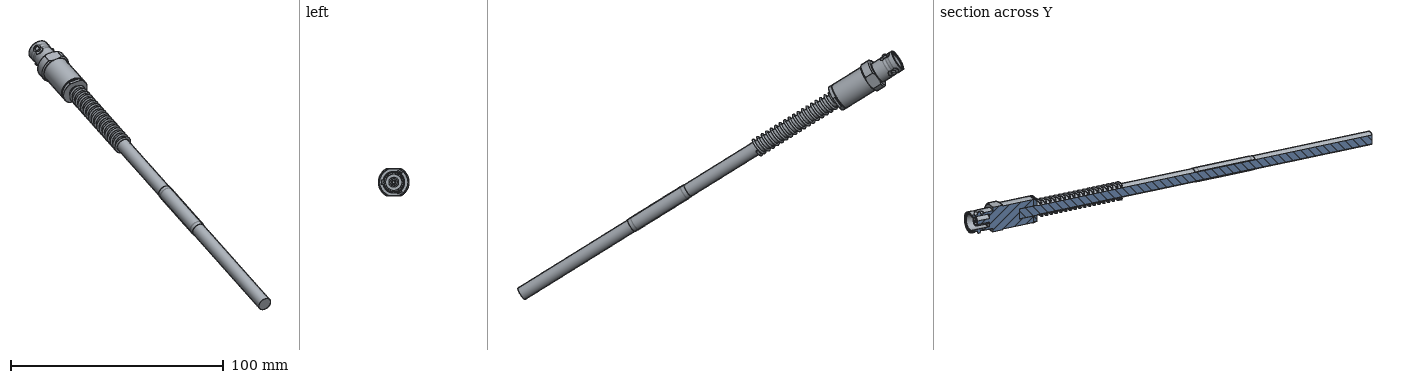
import cadquery as cq

TOTAL_LENGTH = 213.0

BARREL_RADIUS = 5.1
BORE_RADIUS = 3.8
MOUTH_RADIUS = 4.5
MOUTH_DEPTH = 0.5
BORE_DEPTH = 9.5
CONTACT_FRONT = 3.2
CONTACT_RADIUS = 2.3
CONTACT_STEP = 0.6
FLANGE_START = 11.3
FLANGE_END = 16.6
FLANGE_RADIUS = 7.2
FLANGE_CHAMFER = 0.6
BODY_RADIUS = 6.4
BODY_END = 33.2
BODY_CHAMFER = 0.32

LUG_COUNT = 3
LUG_X = 4.0
LUG_RADIUS = 1.0
LUG_TIP = 5.8
LUG_SEAT_RADIUS = 2.5
LUG_SEAT_FLOOR = 4.7
GROOVE_WIDTH = 3.0
GROOVE_DEPTH = 0.2

NUT_END = 35.0
NUT_FLAT_START = 33.7
NUT_FLAT_HEIGHT = 5.8

CABLE_RADIUS = 3.2
CABLE_START = 25.5
SLEEVE_START = 118.8
SLEEVE_LENGTH = 32.0
SLEEVE_RADIUS = 3.5
SLEEVE_TAPER_LENGTH = 2.0
SLEEVE_TAPER_DEPTH = 0.1

COIL_RADIUS = 3.8
WIRE_DIAMETER = 1.0
SPRING_END = 80.3
SPRING_TURNS = 17.5


def rod(start, end, radius):
    """Solid cylinder along X."""
    return cq.Workplane("YZ", origin=(start, 0, 0)).circle(radius).extrude(end - start)


def tube(start, end, outer, inner):
    """Hollow cylinder along X."""
    return cq.Workplane("YZ", origin=(start, 0, 0)).circle(outer).circle(inner).extrude(end - start)


def make_flange():
    """Chamfered disc with flats above and below, level with the body."""
    disc = rod(FLANGE_START, FLANGE_END, FLANGE_RADIUS).edges().chamfer(FLANGE_CHAMFER)
    flats = cq.Workplane("XY").box(2 * FLANGE_END, 2 * FLANGE_RADIUS, 2 * BODY_RADIUS)
    return disc.intersect(flats)


def radial_rod(angle, start, end, radius):
    """Cylinder that points away from the axis at the lugs' X, turned from +Y about X."""
    post = cq.Workplane("XZ", origin=(LUG_X, start, 0)).circle(radius).extrude(start - end)
    return post.rotate((0, 0, 0), (1, 0, 0), angle)


def make_groove():
    """Ring with a V section that bites into the barrel's surface at the lugs."""
    half_width = GROOVE_WIDTH / 2
    section = cq.Workplane("XY").polyline([
        (LUG_X - half_width, BARREL_RADIUS),
        (LUG_X, BARREL_RADIUS - GROOVE_DEPTH),
        (LUG_X + half_width, BARREL_RADIUS),
    ])
    return section.close().revolve(360, (0, 0, 0), (1, 0, 0))


def make_contact():
    """Outer tube around a stepped centre pin, standing on the floor of the bore."""
    outer_tube = tube(CONTACT_FRONT, BORE_DEPTH, CONTACT_RADIUS, CONTACT_RADIUS - CONTACT_STEP)
    pin = rod(CONTACT_FRONT + CONTACT_STEP, BORE_DEPTH, CONTACT_RADIUS - 2 * CONTACT_STEP)
    tip = rod(CONTACT_FRONT, BORE_DEPTH, CONTACT_STEP)
    return outer_tube.union(pin).union(tip)


def make_shell():
    """Barrel, flange and body in one piece, with the bayonet lugs, the bore and its contact."""
    body = rod(FLANGE_START, BODY_END, BODY_RADIUS).faces(">X").chamfer(BODY_CHAMFER)
    shell = rod(0, FLANGE_END, BARREL_RADIUS).union(body).union(make_flange())
    shell = shell.cut(make_groove())
    for i in range(LUG_COUNT):
        angle = i * 360 / LUG_COUNT
        shell = shell.cut(radial_rod(angle, LUG_SEAT_FLOOR, BODY_RADIUS, LUG_SEAT_RADIUS))
        shell = shell.union(radial_rod(angle, BORE_RADIUS, LUG_TIP, LUG_RADIUS))
    bore = rod(0, BORE_DEPTH, BORE_RADIUS).union(rod(0, MOUTH_DEPTH, MOUTH_RADIUS))
    cable_hole = rod(CABLE_START, BODY_END, CABLE_RADIUS)
    return shell.cut(bore).cut(cable_hole).union(make_contact())


def make_nut():
    """Ring behind the shell, with two wrench flats at its rear."""
    nut = tube(BODY_END, NUT_END, BODY_RADIUS, CABLE_RADIUS)
    flat_length = NUT_END - NUT_FLAT_START
    for side in (-1, 1):
        block = cq.Workplane("XY").box(flat_length, 2 * BODY_RADIUS, BODY_RADIUS)
        center = (NUT_FLAT_START + flat_length / 2, 0, side * (NUT_FLAT_HEIGHT + BODY_RADIUS / 2))
        nut = nut.cut(block.translate(center))
    return nut


def make_spring():
    """Helix from the nut's face, finished by a half turn without pitch."""
    wire_radius = WIRE_DIAMETER / 2
    start = NUT_END + wire_radius
    height = SPRING_END - wire_radius - start
    path = cq.Wire.makeHelix(height / SPRING_TURNS, height, COIL_RADIUS)
    section = cq.Workplane("XZ", origin=(COIL_RADIUS, 0, 0)).circle(wire_radius)
    spring = section.sweep(cq.Workplane(obj=path), isFrenet=True)
    end_turn = cq.Workplane("XZ", origin=(0, 0, height)).center(-COIL_RADIUS, 0).circle(wire_radius)
    end_turn = end_turn.revolve(180, (COIL_RADIUS, 0), (COIL_RADIUS, 1))
    spring = spring.union(end_turn)
    return spring.rotate((0, 0, 0), (0, 1, 0), 90).translate((start, 0, 0))


def make_sleeve():
    """Thin tube around the cable, slightly tapered at both ends."""
    sleeve_end = SLEEVE_START + SLEEVE_LENGTH
    sleeve = rod(SLEEVE_START, sleeve_end, SLEEVE_RADIUS)
    sleeve = sleeve.faces("<X").chamfer(SLEEVE_TAPER_LENGTH, SLEEVE_TAPER_DEPTH)
    sleeve = sleeve.faces(">X").chamfer(SLEEVE_TAPER_LENGTH, SLEEVE_TAPER_DEPTH)
    return sleeve.cut(rod(SLEEVE_START, sleeve_end, CABLE_RADIUS))


shell = make_shell()
nut = make_nut()
spring = make_spring()
cable = rod(CABLE_START, TOTAL_LENGTH, CABLE_RADIUS)
sleeve = make_sleeve()

result = cq.Compound.makeCompound([shell.val(), nut.val(), spring.val(), cable.val(), sleeve.val()])